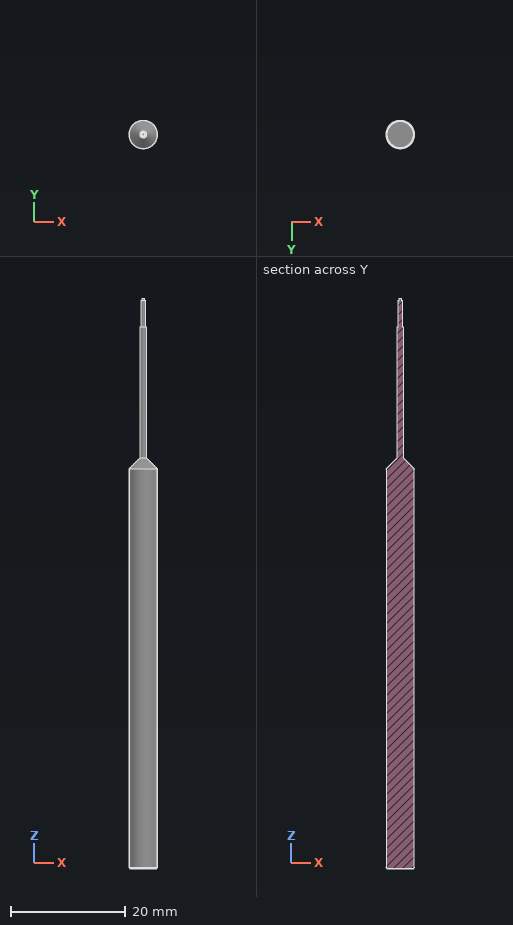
import cadquery as cq

shank_diameter = 5.0
neck_diameter = 1.2
tip_diameter = 0.85
point_diameter = 0.5

total_length = 100.0
reach = 28.0
tip_length = 5.0
point_length = 0.4
shank_chamfer = 0.2

shank_radius = shank_diameter / 2
neck_radius = neck_diameter / 2
tip_radius = tip_diameter / 2
point_radius = point_diameter / 2

cone_top = total_length - reach
cone_bottom = cone_top - (shank_radius - neck_radius)
tip_bottom = total_length - tip_length
point_bottom = total_length - point_length

half_profile = (
    cq.Workplane("XZ")
    .moveTo(0, 0)
    .lineTo(shank_radius - shank_chamfer, 0)
    .lineTo(shank_radius, shank_chamfer)
    .lineTo(shank_radius, cone_bottom)
    .lineTo(neck_radius, cone_top)
    .lineTo(neck_radius, tip_bottom)
    .lineTo(tip_radius, tip_bottom)
    .lineTo(tip_radius, point_bottom)
    .lineTo(point_radius, point_bottom)
    .lineTo(point_radius, total_length)
    .lineTo(0, total_length)
    .close()
)

result = half_profile.revolve(360, (0, 0, 0), (0, 1, 0))